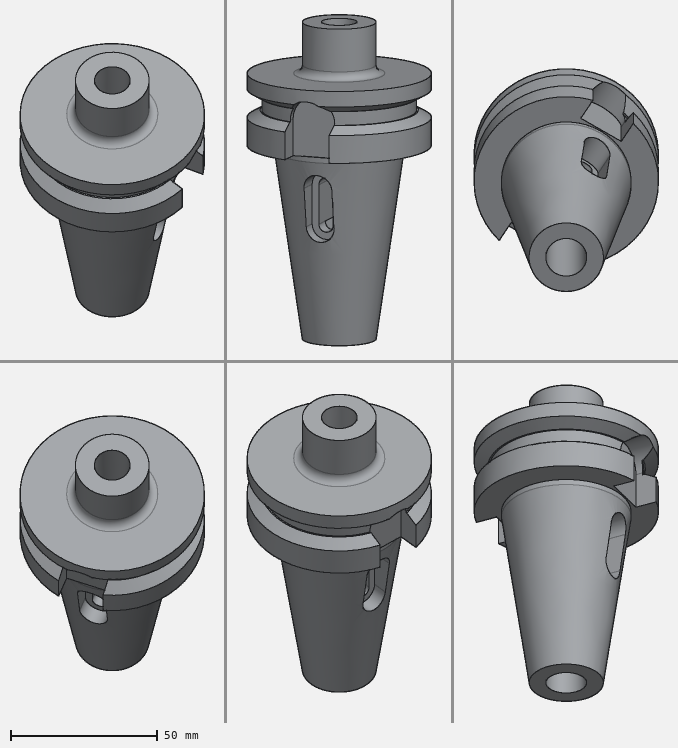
import cadquery as cq
import math

total_height = 110.4

nose_radius = 12.6
nose_fillet = 3.0

flange_radius = 31.52
flange_top = 92.5
upper_rim_bottom = 87.1
groove_top = 84.6
groove_bottom = 79.7
lower_rim_top = 77.2
flange_bottom = 67.5
groove_radius = 26.5
groove_side_radius = 27.0

collar_bottom = 65.5
shank_top_radius = 22.2
shank_bottom_radius = 12.7

drive_slot_width = 16.2
drive_slot_top = 88.4
drive_slot_floor = 22.6

socket_top_radius = 6.1
socket_end_radius = 5.0
socket_depth = 54.1

tang_slot_width = 5.2
tang_slot_length = 19.0
tang_slot_center = 48.9
recess_width = 10.2
recess_length = tang_slot_length + recess_width - tang_slot_width
recess_floor = 12.5

draw_bore_radius = 7.0
draw_bore_depth = tang_slot_center - tang_slot_length / 2 + tang_slot_width / 2


def make_body():
    """Revolve the outer profile and the fillet at the foot of the nose."""
    fillet_outer = nose_radius + nose_fillet
    fillet_top = flange_top + nose_fillet
    fillet_mid_offset = nose_fillet * (1 - math.sqrt(0.5))
    return (
        cq.Workplane("XZ")
        .lineTo(shank_bottom_radius, 0)
        .lineTo(shank_top_radius, collar_bottom)
        .lineTo(shank_top_radius, flange_bottom)
        .lineTo(flange_radius, flange_bottom)
        .lineTo(flange_radius, lower_rim_top)
        .lineTo(groove_side_radius, groove_bottom)
        .lineTo(groove_radius, groove_bottom)
        .lineTo(groove_radius, groove_top)
        .lineTo(groove_side_radius, groove_top)
        .lineTo(flange_radius, upper_rim_bottom)
        .lineTo(flange_radius, flange_top)
        .lineTo(fillet_outer, flange_top)
        .threePointArc(
            (nose_radius + fillet_mid_offset, flange_top + fillet_mid_offset),
            (nose_radius, fillet_top),
        )
        .lineTo(nose_radius, total_height)
        .lineTo(0, total_height)
        .close()
        .revolve(360, (0, 0, 0), (0, 1, 0))
    )


def make_drive_slot():
    """Round-topped slot cutter on the +X side, open at the flange underside."""
    half_width = drive_slot_width / 2
    arc_start = drive_slot_top - half_width
    return (
        cq.Workplane("YZ", origin=(drive_slot_floor, 0, 0))
        .moveTo(-half_width, flange_bottom)
        .lineTo(half_width, flange_bottom)
        .lineTo(half_width, arc_start)
        .threePointArc((0, drive_slot_top), (-half_width, arc_start))
        .close()
        .extrude(flange_radius - drive_slot_floor)
    )


def make_upright_slot(start_x, end_x, length, width):
    """Rounded upright slot cutter running along X at the tang slot height."""
    return (
        cq.Workplane("YZ", origin=(start_x, 0, tang_slot_center))
        .slot2D(length, width, 90)
        .extrude(end_x - start_x)
    )


def make_socket():
    """Tapered socket cutter opening at the top of the nose."""
    return (
        cq.Workplane("XY", origin=(0, 0, total_height))
        .circle(socket_top_radius)
        .workplane(offset=-socket_depth)
        .circle(socket_end_radius)
        .loft()
    )


result = make_body().cut(make_socket())
result = result.cut(cq.Workplane("XY").circle(draw_bore_radius).extrude(draw_bore_depth))
result = result.cut(
    make_upright_slot(-shank_top_radius, shank_top_radius, tang_slot_length, tang_slot_width)
)

side_cutters = (
    make_drive_slot(),
    make_upright_slot(recess_floor, shank_top_radius, recess_length, recess_width),
)
for cutter in side_cutters:
    result = result.cut(cutter).cut(cutter.mirror("YZ"))